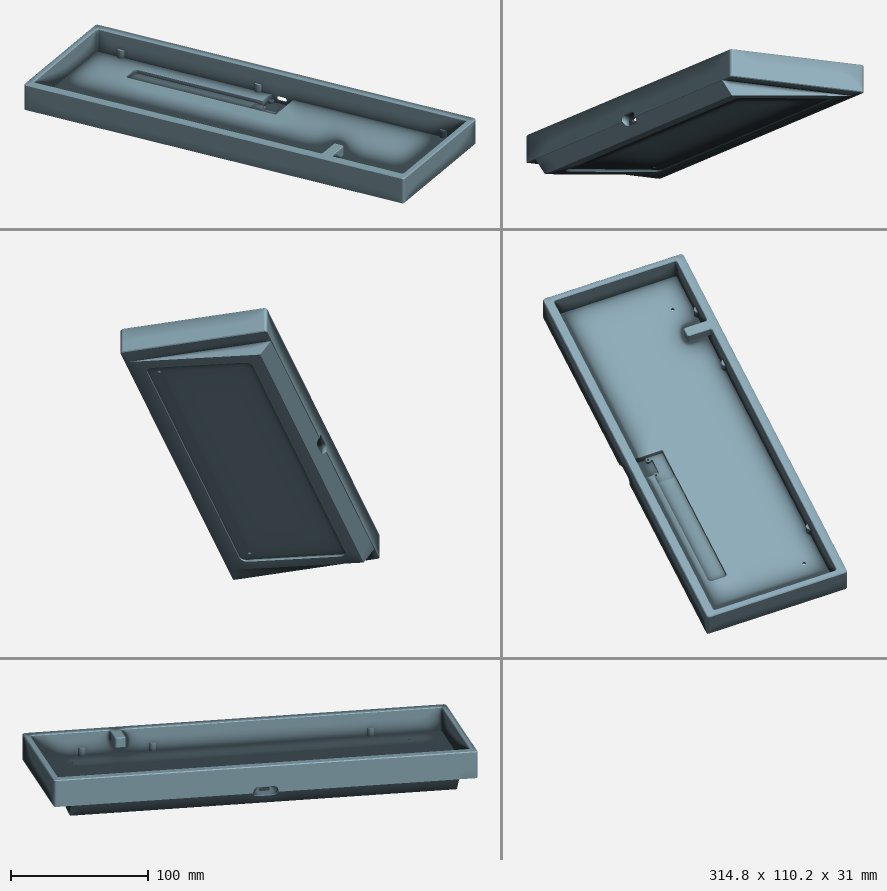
import cadquery as cq
import math

length = 314.8
width = 110.2
height = 31.0
foot_height = 10.5
corner_radius = 2.2
edge_chamfer = 0.5

side_wall = 4.7
end_wall = 7.0
floor_level = 12.5
cavity_radius = 1.5
cavity_chamfer = 0.47

foot_inset = 14.0
foot_front = 2.8
foot_tip = 101.7
foot_back = 109.5
foot_rim = 9.8
foot_recess_depth = 2.0
foot_recess_radius = 5.7

channel_left = 42.5
channel_right = 166.8
channel_front = 76.8
channel_back = 91.3
channel_depth = 2.8
channel_radius = 2.5
step_left = 142.3
step_depth = 0.5

pocket_left = 148.0
pocket_middle = (pocket_left + channel_right) / 2
pocket_shoulder = 90.3
pocket_depth = 5.7
pocket_radius = 2.0
nose_front = 86.0
nose_width = 14.0
nose_radius = 1.5

boss_diameter = 4.0
boss_hole_diameter = 1.6
boss_inset = 2.0
boss_front = 88.8

port_width = 8.2
port_height = 3.0
port_level = 11.0
port_wall = 1.0
plug_width = 19.0
plug_height = 8.2

pin_diameter = 6.3
pin_protrusion = 2.0
pin_height = 6.3
back_pins = (24.2, 138.0, 290.8)
front_pins = (57.3, 219.0, 271.5)

tongue_left = 243.0
tongue_width = 8.2
tongue_length = 19.0
tongue_thickness = 7.2

hole_diameter = 2.5
hole_inset = 32.0
hole_y = 21.0


def block(x0, x1, y0, y1, z0, z1):
    return cq.Workplane("XY").box(x1 - x0, y1 - y0, z1 - z0, centered=False).translate((x0, y0, z0))


def make_case():
    case = block(0, length, 0, width, foot_height, height)
    case = case.edges("<Z and |Y").chamfer(edge_chamfer)
    case = case.edges("|Z").fillet(corner_radius)
    tongue_bottom = height - tongue_thickness
    inner_walls = (side_wall, length - side_wall, end_wall, width - end_wall)
    cavity = block(*inner_walls, floor_level, tongue_bottom).edges("|Z").fillet(cavity_radius)
    tongue = block(tongue_left, tongue_left + tongue_width, end_wall, end_wall + tongue_length,
                   tongue_bottom, height)
    opening = block(*inner_walls, tongue_bottom, height).cut(tongue).edges("|Z").fillet(cavity_radius)
    case = case.faces(">Z").edges().chamfer(edge_chamfer)
    case = case.cut(cavity).cut(opening)
    return case.faces(">Z").wires().item(1).chamfer(cavity_chamfer)


def make_foot():
    profile = [(foot_front, foot_height), (foot_tip, 0), (foot_back, foot_height)]
    foot = cq.Workplane("YZ").polyline(profile).close().extrude(length - 2 * foot_inset)
    foot = foot.translate((foot_inset, 0, 0))
    run = foot_tip - foot_front
    slope_length = math.hypot(run, foot_height)
    slope_angle = math.degrees(math.atan2(foot_height, run))
    recess = (
        cq.Workplane("XY")
        .box(length - 2 * (foot_inset + foot_rim), slope_length - 2 * foot_rim, foot_recess_depth,
             centered=(True, False, False))
        .edges("|Z").fillet(foot_recess_radius)
        .translate((length / 2, foot_rim, 0))
        .rotate((0, 0, 0), (1, 0, 0), -slope_angle)
        .translate((0, foot_front, foot_height))
    )
    return foot.cut(recess)


def make_channel():
    bottom = floor_level - channel_depth
    channel = block(channel_left, channel_right, channel_front, channel_back, bottom, floor_level)
    channel = channel.edges("|Z and <X").fillet(channel_radius)
    step = block(step_left, channel_right, channel_front, channel_back, bottom - step_depth, floor_level)
    step = step.edges("|Z and <X").fillet(channel_radius)
    return channel.union(step)


def make_pocket():
    bottom = floor_level - pocket_depth
    back = width - end_wall
    pocket = block(pocket_left, channel_right, pocket_shoulder, back, bottom, floor_level)
    pocket = pocket.edges("|Z and >Y").fillet(pocket_radius)
    nose = block(pocket_middle - nose_width / 2, pocket_middle + nose_width / 2,
                 nose_front, back - pocket_radius, bottom, floor_level)
    pocket = pocket.union(nose.edges("|Z and <Y").fillet(nose_radius))
    boss_height = pocket_depth - channel_depth - step_depth
    boss_places = [
        (x, y)
        for x in (pocket_left + boss_inset, channel_right - boss_inset)
        for y in (boss_front, back - boss_inset)
    ]
    base = cq.Workplane("XY", origin=(0, 0, bottom)).pushPoints(boss_places)
    bosses = base.circle(boss_diameter / 2).extrude(boss_height)
    holes = base.circle(boss_hole_diameter / 2).extrude(boss_height)
    return pocket.cut(bosses).union(holes)


def make_port():
    outside = cq.Workplane("XZ", origin=(pocket_middle, width, port_level))
    port = outside.slot2D(port_width, port_height).extrude(end_wall)
    plug_recess = outside.slot2D(plug_width, plug_height).extrude(end_wall - port_wall)
    return port.union(plug_recess)


def make_pins():
    setback = pin_diameter / 2 - pin_protrusion
    places = [(x, width - end_wall + setback) for x in back_pins]
    places += [(x, end_wall - setback) for x in front_pins]
    return (
        cq.Workplane("XY", origin=(0, 0, floor_level))
        .pushPoints(places).circle(pin_diameter / 2).extrude(pin_height)
    )


def make_floor_holes():
    return (
        cq.Workplane("XY")
        .pushPoints([(hole_inset, hole_y), (length - hole_inset, hole_y)])
        .circle(hole_diameter / 2).extrude(height)
    )


result = make_case().union(make_foot()).union(make_pins())
result = result.cut(make_channel()).cut(make_pocket()).cut(make_port()).cut(make_floor_holes())